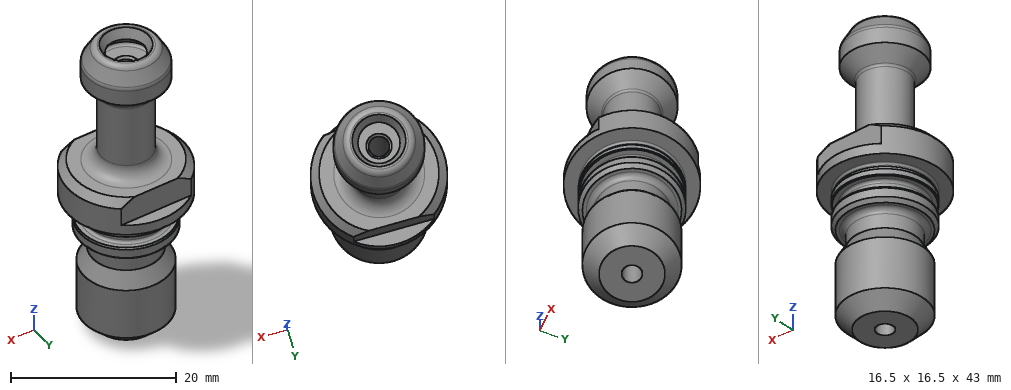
import cadquery as cq
import math

LENGTH = 43.0

SHANK_R = 12.0 / 2
SHANK_CHAMFER = 2.0
SHANK_TOP = 9.4
RELIEF_R = 9.5 / 2
RELIEF_FILLET = 0.77
RELIEF_CONE_ANGLE = 30.0

COLLAR_R = 13.0 / 2
LOWER_COLLAR_BOTTOM = 14.45
LOWER_COLLAR_CHAMFER = 0.5
GROOVE_R = 10.7 / 2
GROOVE_BOTTOM = 16.45
GROOVE_TOP = 18.1
GROOVE_FILLET = 0.4
EDGE_WIDTH = 0.15
LOWER_EDGE_HEIGHT = 0.25
UPPER_COLLAR_TOP = 19.0
SPIGOT_R = 12.5 / 2
SPIGOT_CONE_HEIGHT = 0.5
SPIGOT_FILLET = 0.25

FLANGE_R = 16.5 / 2
FLANGE_BOTTOM = 20.05
FLANGE_TOP = 25.05
FLANGE_CHAMFER = 1.05
FLAT_SPACING = 13.05
FLAT_BOTTOM = 21.5

NECK_R = 7.1 / 2
NECK_FILLET = 1.95
HEAD_R = 11.0 / 2
HEAD_BOTTOM = 38.0
UNDERHEAD_ANGLE = 45.0
UNDERHEAD_FILLET = 0.55
UNDERHEAD_END = 35.85
HEAD_CONE_ANGLE = 30.0
HEAD_ROUND = 1.0
RIM_R = 7.0 / 2

MOUTH_R = 3.22
THROAT_R = 2.55
THROAT_DEPTH = 1.3
RECESS_R = 3.7
RECESS_DEPTH = 3.05
RECESS_FILLET = 0.4
HOLE_R = 2.5 / 2
HOLE_CHAMFER = 0.3


def arc_point(r, z, radius, angle):
    """Point on a circle in the (r, z) half plane, angle in degrees from +r."""
    a = math.radians(angle)
    return (r + radius * math.cos(a), z + radius * math.sin(a))


def arc(profile, r, z, radius, start, end):
    """Line to the start of an arc centred at (r, z), then follow the arc to its end."""
    first = arc_point(r, z, radius, start)
    middle = arc_point(r, z, radius, (start + end) / 2)
    last = arc_point(r, z, radius, end)
    return profile.lineTo(*first).threePointArc(middle, last)


def revolve(profile):
    """Close a half profile and turn it about Z."""
    return profile.close().revolve(360, (0, 0, 0), (0, 1, 0))


def add_shank(p):
    cone_height = (SHANK_R - RELIEF_R) / math.tan(math.radians(RELIEF_CONE_ANGLE))
    p = p.lineTo(SHANK_R - SHANK_CHAMFER, 0)
    p = p.lineTo(SHANK_R, SHANK_CHAMFER)
    p = p.lineTo(SHANK_R, SHANK_TOP)
    p = p.lineTo(RELIEF_R, SHANK_TOP + cone_height)
    return arc(p, RELIEF_R + RELIEF_FILLET, LOWER_COLLAR_BOTTOM - RELIEF_FILLET, RELIEF_FILLET, 180, 90)


def add_collars(p):
    p = p.lineTo(COLLAR_R - LOWER_COLLAR_CHAMFER, LOWER_COLLAR_BOTTOM)
    p = p.lineTo(COLLAR_R, LOWER_COLLAR_BOTTOM + LOWER_COLLAR_CHAMFER)
    p = p.lineTo(COLLAR_R, GROOVE_BOTTOM - LOWER_EDGE_HEIGHT)
    p = p.lineTo(COLLAR_R - EDGE_WIDTH, GROOVE_BOTTOM)
    groove_arc_r = GROOVE_R + GROOVE_FILLET
    p = arc(p, groove_arc_r, GROOVE_BOTTOM + GROOVE_FILLET, GROOVE_FILLET, 270, 180)
    p = arc(p, groove_arc_r, GROOVE_TOP - GROOVE_FILLET, GROOVE_FILLET, 180, 90)
    p = p.lineTo(COLLAR_R - EDGE_WIDTH, GROOVE_TOP)
    p = p.lineTo(COLLAR_R, GROOVE_TOP + EDGE_WIDTH)
    p = p.lineTo(COLLAR_R, UPPER_COLLAR_TOP)
    p = p.lineTo(SPIGOT_R, UPPER_COLLAR_TOP + SPIGOT_CONE_HEIGHT)
    return arc(p, SPIGOT_R + SPIGOT_FILLET, FLANGE_BOTTOM - SPIGOT_FILLET, SPIGOT_FILLET, 180, 90)


def add_flange(p):
    p = p.lineTo(FLANGE_R, FLANGE_BOTTOM)
    p = p.lineTo(FLANGE_R, FLANGE_TOP - FLANGE_CHAMFER)
    p = p.lineTo(FLANGE_R - FLANGE_CHAMFER, FLANGE_TOP)
    return arc(p, NECK_R + NECK_FILLET, FLANGE_TOP + NECK_FILLET, NECK_FILLET, 270, 180)


def add_head(p):
    p = arc(p, NECK_R + UNDERHEAD_FILLET, UNDERHEAD_END, UNDERHEAD_FILLET, 180, 180 - UNDERHEAD_ANGLE)
    p = p.lineTo(HEAD_R, HEAD_BOTTOM)
    cone = math.radians(HEAD_CONE_ANGLE)
    upper_z = LENGTH - HEAD_ROUND
    lower_r = HEAD_R - HEAD_ROUND
    lower_z = upper_z - (lower_r - RIM_R) / math.tan(cone)
    p = arc(p, lower_r, lower_z, HEAD_ROUND, 0, HEAD_CONE_ANGLE)
    return arc(p, RIM_R, upper_z, HEAD_ROUND, HEAD_CONE_ANGLE, 90)


def make_body():
    p = cq.Workplane("XZ").moveTo(0, 0)
    for add_section in (add_shank, add_collars, add_flange, add_head):
        p = add_section(p)
    return revolve(p.lineTo(0, LENGTH))


def make_bore():
    floor_z = LENGTH - RECESS_DEPTH
    p = cq.Workplane("XZ").moveTo(0, 0)
    p = p.lineTo(HOLE_R, 0)
    p = p.lineTo(HOLE_R, floor_z - HOLE_CHAMFER)
    p = p.lineTo(HOLE_R + HOLE_CHAMFER, floor_z)
    p = arc(p, RECESS_R - RECESS_FILLET, floor_z + RECESS_FILLET, RECESS_FILLET, 270, 360)
    p = p.lineTo(THROAT_R, LENGTH - THROAT_DEPTH)
    p = p.lineTo(MOUTH_R, LENGTH)
    return revolve(p.lineTo(0, LENGTH))


def make_flat_cutter(side):
    """Block that cuts one wrench flat; side is +1 or -1 along Y."""
    block = cq.Workplane("XY").box(
        2 * FLANGE_R, FLANGE_R, FLANGE_TOP - FLAT_BOTTOM, centered=(True, True, False)
    )
    return block.translate((0, side * (FLAT_SPACING + FLANGE_R) / 2, FLAT_BOTTOM))


result = make_body().cut(make_bore())
for side in (-1, 1):
    result = result.cut(make_flat_cutter(side))